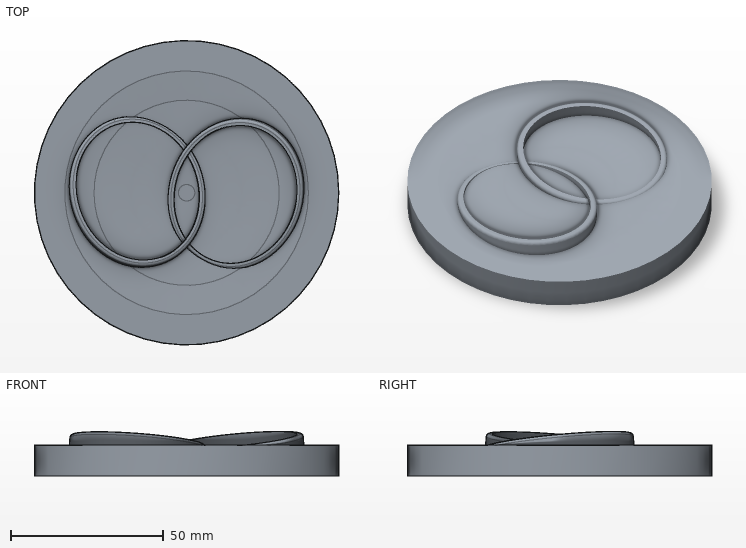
import cadquery as cq
import math

base_diameter = 100.0
base_height = 10.25
dish_radius = 40.0
bowl_rim_radius = 30.4
dish_slope = 4.0
dish_floor_radius = 2.7

ring_inner_long = 23.0
ring_inner_short = 20.0
ring_wall = 2.0
ring_height = 6.0
ring_fillet = 1.0
ring_tilt = 7.0

ring_offset_x = 16.02
ring_offset_y = 0.56
long_axis_lean = 18.0
left_top_z = 12.0
left_high_direction = 227.0
right_top_z = 11.91
right_high_direction = 45.0


def make_base():
    """Revolve the disc; the bowl is tangent to the conical rim where they meet."""
    slope = math.radians(dish_slope)
    bowl_radius = bowl_rim_radius / math.sin(slope)
    bowl_rim_z = base_height - (dish_radius - bowl_rim_radius) * math.tan(slope)
    bowl_centre_z = bowl_rim_z + bowl_radius * math.cos(slope)

    def bowl_point(radius):
        return (radius, bowl_centre_z - math.sqrt(bowl_radius**2 - radius**2))

    middle_radius = (bowl_rim_radius + dish_floor_radius) / 2
    floor_edge = bowl_point(dish_floor_radius)
    return (
        cq.Workplane("XZ")
        .lineTo(base_diameter / 2, 0)
        .lineTo(base_diameter / 2, base_height)
        .lineTo(dish_radius, base_height)
        .lineTo(bowl_rim_radius, bowl_rim_z)
        .threePointArc(bowl_point(middle_radius), floor_edge)
        .lineTo(0, floor_edge[1])
        .close()
        .revolve()
    )


def make_ring(top_centre, long_axis_angle, high_direction):
    """Build an oval band downwards from its tilted top face."""
    tilt = math.radians(ring_tilt)
    high = math.radians(high_direction)
    normal = cq.Vector(
        -math.sin(tilt) * math.cos(high),
        -math.sin(tilt) * math.sin(high),
        math.cos(tilt),
    )
    heading = math.radians(long_axis_angle)
    level_axis = cq.Vector(math.cos(heading), math.sin(heading), 0)
    long_axis = level_axis - normal * level_axis.dot(normal)
    top_plane = cq.Plane(origin=top_centre, xDir=long_axis, normal=normal)

    outer = (
        cq.Workplane(top_plane)
        .ellipse(ring_inner_long + ring_wall, ring_inner_short + ring_wall)
        .extrude(-ring_height)
        .edges()
        .fillet(ring_fillet)
    )
    bore = (
        cq.Workplane(top_plane)
        .ellipse(ring_inner_long, ring_inner_short)
        .extrude(-ring_height)
    )
    return outer.cut(bore)


right_ring = make_ring(
    (ring_offset_x, -ring_offset_y, right_top_z),
    90 - long_axis_lean,
    right_high_direction,
)

left_ring = make_ring(
    (-ring_offset_x, ring_offset_y, left_top_z),
    90 + long_axis_lean,
    left_high_direction,
).cut(right_ring)

base = make_base().cut(right_ring).cut(left_ring)

result = cq.Compound.makeCompound([base.val(), left_ring.val(), right_ring.val()])